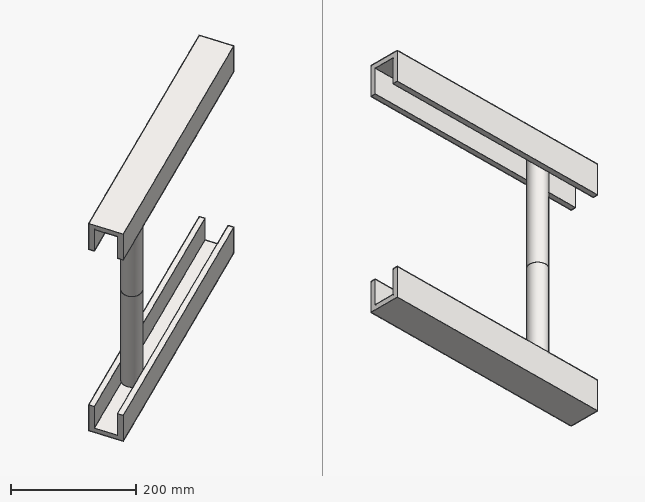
import cadquery as cq

rail_width = 60.0
rail_length = 450.0
rail_height = 60.0
wall = 10.0

overall_height = 480.0

rod_diameter = 36.0
rod_length = 210.0
rod_y = -120.0


def make_rail(facing):
    """U channel along Y; facing is 1 if it opens upward, -1 if it opens downward."""
    block_z = -facing * (overall_height - rail_height) / 2
    block = cq.Workplane("XY").box(rail_width, rail_length, rail_height)
    channel = (
        cq.Workplane("XY")
        .box(rail_width - 2 * wall, rail_length, rail_height)
        .translate((0, 0, facing * wall))
    )
    return block.cut(channel).translate((0, 0, block_z))


def make_rod(side):
    """Round rod from mid height; side is 1 for the upper rod, -1 for the lower one."""
    return (
        cq.Workplane("XY")
        .center(0, rod_y)
        .circle(rod_diameter / 2)
        .extrude(side * rod_length)
    )


rails = [make_rail(facing) for facing in (1, -1)]
rods = [make_rod(side) for side in (1, -1)]

result = cq.Compound.makeCompound([body.val() for body in rails + rods])